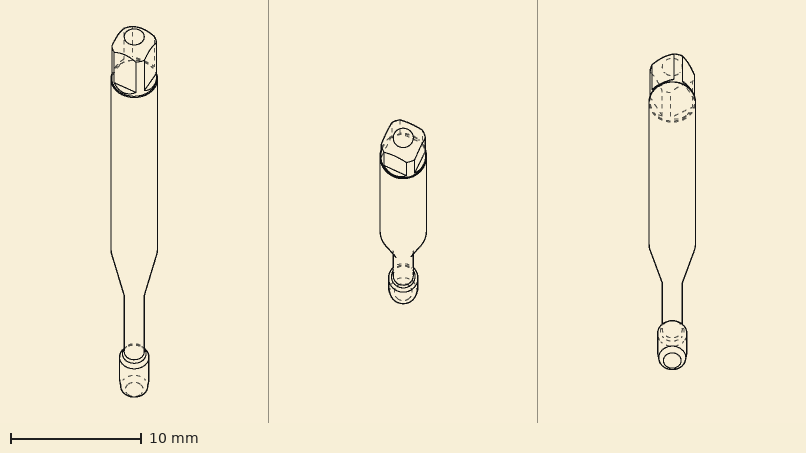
import cadquery as cq

TOTAL_LENGTH = 45.1
TIP_CHAMFER_TOP = 0.4
LEAD_TAPER_TOP = 1.3
HEAD_LAND_TOP = 4.15
HEAD_TOP = 4.55
NECK_BOTTOM = 4.83
NECK_TOP = 12.1
TAPER_TOP = 17.85
SHANK_TOP = 39.75
FLATS_BOTTOM = 40.27

TIP_DIAMETER = 1.35
LEAD_DIAMETER = 2.07
HEAD_DIAMETER = 2.25
HEAD_TOP_DIAMETER = 1.8
NECK_DIAMETER = 1.55
SHANK_DIAMETER = 3.55
DRIVE_DIAMETER = 3.45
DRIVE_END_DIAMETER = 1.55

SQUARE_WIDTH = 2.85
FLAT_COUNT = 4


def revolve_profile(stations):
    """Revolve (diameter, height) stations, listed upward, about the Z axis."""
    outline = [(diameter / 2, height) for diameter, height in stations]
    bottom = (0, stations[0][1])
    top = (0, stations[-1][1])
    return cq.Workplane("XZ").polyline([bottom, *outline, top]).close().revolve(360, (0, 0), (0, 1))


def make_head():
    """Working head with a tapered lead, a chamfered tip and a chamfered back."""
    return revolve_profile([
        (TIP_DIAMETER, 0),
        (LEAD_DIAMETER, TIP_CHAMFER_TOP),
        (HEAD_DIAMETER, LEAD_TAPER_TOP),
        (HEAD_DIAMETER, HEAD_LAND_TOP),
        (HEAD_TOP_DIAMETER, HEAD_TOP),
    ])


def make_flat_cutter():
    """Material beside one drive flat; its floor slopes down and outward at 45 degrees."""
    inner = SQUARE_WIDTH / 2
    outer = SHANK_DIAMETER / 2
    outline = [
        (inner, FLATS_BOTTOM),
        (outer, FLATS_BOTTOM - (outer - inner)),
        (outer, TOTAL_LENGTH),
        (inner, TOTAL_LENGTH),
    ]
    return cq.Workplane("XZ").polyline(outline).close().extrude(outer, both=True)


def make_shank():
    """Neck, taper and cylindrical shank, ending in a square drive."""
    shoulder_height = (SHANK_DIAMETER - DRIVE_DIAMETER) / 2
    end_chamfer = (DRIVE_DIAMETER - DRIVE_END_DIAMETER) / 2
    shank = revolve_profile([
        (HEAD_TOP_DIAMETER, HEAD_TOP),
        (NECK_DIAMETER, NECK_BOTTOM),
        (NECK_DIAMETER, NECK_TOP),
        (SHANK_DIAMETER, TAPER_TOP),
        (SHANK_DIAMETER, SHANK_TOP),
        (DRIVE_DIAMETER, SHANK_TOP + shoulder_height),
        (DRIVE_DIAMETER, TOTAL_LENGTH - end_chamfer),
        (DRIVE_END_DIAMETER, TOTAL_LENGTH),
    ])
    cutter = make_flat_cutter()
    for index in range(FLAT_COUNT):
        angle = index * 360 / FLAT_COUNT
        shank = shank.cut(cutter.rotate((0, 0, 0), (0, 0, 1), angle))
    return shank


head = make_head()
shank = make_shank()
result = cq.Compound.makeCompound([head.val(), *shank.vals()])